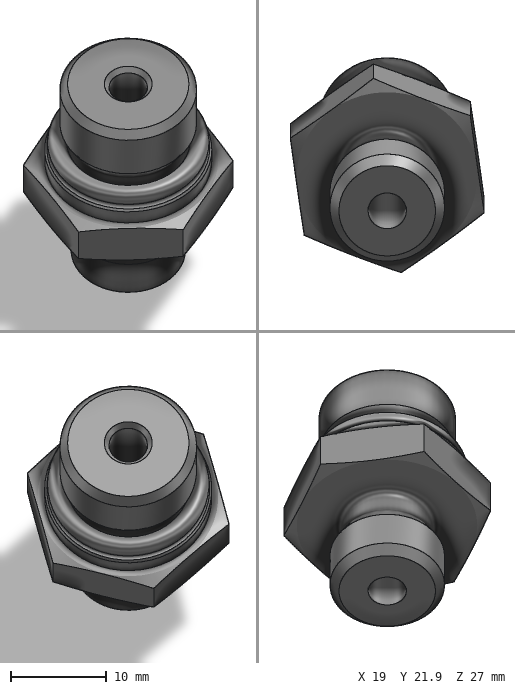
import cadquery as cq
import math

TOTAL_LENGTH = 27.0
BORE_DIAMETER = 4.0
BORE_MOUTH_DIAMETER = 5.0

HEX_ACROSS_FLATS = 19.0
HEX_BOTTOM = 10.0
HEX_HEIGHT = 5.0
HEX_TOP = HEX_BOTTOM + HEX_HEIGHT
HEX_FACE_RADIUS = 9.45
HEX_CHAMFER_ANGLE = 15.0

LOWER_STUD_RADIUS = 12.0 / 2
LOWER_NECK_RADIUS = 9.7 / 2
LOWER_CHAMFER = 0.95
LOWER_STUD_TOP = 5.35

UPPER_STUD_RADIUS = 14.3 / 2
UPPER_GROOVE_RADIUS = 12.23 / 2
UPPER_CHAMFER = 0.8
UPPER_STUD_BOTTOM = 20.92
COLLAR_RADIUS = 17.5 / 2
COLLAR_TOP = 16.93
COLLAR_CHAMFER = 0.22

NECK_FILLET = 1.0
ARC_INSET = NECK_FILLET * (1 - math.sqrt(0.5))
TAPER_ANGLE = math.radians(30.0)

RING_SECTION_RADIUS = 1.0
RING_OUTER_RADIUS = 8.45


def taper_blend(stud_radius, neck_radius):
    """Axial run of the taper, and the three radius / axial-offset points of its fillet.

    Offsets are measured from the end of the taper towards the neck.
    """
    fillet_points = []
    for angle in (TAPER_ANGLE, TAPER_ANGLE / 2, 0.0):
        radius = neck_radius + NECK_FILLET * (1 - math.cos(angle))
        offset = NECK_FILLET * (math.sin(TAPER_ANGLE) - math.sin(angle))
        fillet_points.append((radius, offset))
    taper_run = (stud_radius - fillet_points[0][0]) / math.tan(TAPER_ANGLE)
    return taper_run, fillet_points


def revolve_about_z(profile):
    return profile.close().revolve(360, (0, 0, 0), (0, 1, 0))


def make_lower_stud():
    taper_run, fillet_points = taper_blend(LOWER_STUD_RADIUS, LOWER_NECK_RADIUS)
    taper_end = LOWER_STUD_TOP + taper_run
    start, middle, end = [(radius, taper_end + offset) for radius, offset in fillet_points]
    profile = (
        cq.Workplane("XZ")
        .lineTo(LOWER_STUD_RADIUS - LOWER_CHAMFER, 0)
        .lineTo(LOWER_STUD_RADIUS, LOWER_CHAMFER)
        .lineTo(LOWER_STUD_RADIUS, LOWER_STUD_TOP)
        .lineTo(*start)
        .threePointArc(middle, end)
        .lineTo(LOWER_NECK_RADIUS, HEX_BOTTOM - NECK_FILLET)
        .threePointArc(
            (LOWER_NECK_RADIUS + ARC_INSET, HEX_BOTTOM - ARC_INSET),
            (LOWER_NECK_RADIUS + NECK_FILLET, HEX_BOTTOM),
        )
        .lineTo(0, HEX_BOTTOM)
    )
    return revolve_about_z(profile)


def make_hexagon():
    corner_diameter = HEX_ACROSS_FLATS / math.cos(math.radians(30))
    prism = (
        cq.Workplane("XY", origin=(0, 0, HEX_BOTTOM))
        .polygon(6, corner_diameter)
        .extrude(HEX_HEIGHT)
        .rotate((0, 0, 0), (0, 0, 1), 30)
    )
    cone_height = HEX_HEIGHT / 4
    rim_radius = HEX_FACE_RADIUS + cone_height / math.tan(math.radians(HEX_CHAMFER_ANGLE))
    profile = (
        cq.Workplane("XZ", origin=(0, 0, HEX_BOTTOM))
        .lineTo(HEX_FACE_RADIUS, 0)
        .lineTo(rim_radius, cone_height)
        .lineTo(rim_radius, HEX_HEIGHT - cone_height)
        .lineTo(HEX_FACE_RADIUS, HEX_HEIGHT)
        .lineTo(0, HEX_HEIGHT)
    )
    return prism.intersect(revolve_about_z(profile))


def make_upper_stud():
    taper_run, fillet_points = taper_blend(UPPER_STUD_RADIUS, UPPER_GROOVE_RADIUS)
    taper_end = UPPER_STUD_BOTTOM - taper_run
    start, middle, end = [(radius, taper_end - offset) for radius, offset in fillet_points]
    profile = (
        cq.Workplane("XZ")
        .moveTo(0, HEX_TOP)
        .lineTo(COLLAR_RADIUS, HEX_TOP)
        .lineTo(COLLAR_RADIUS, COLLAR_TOP - COLLAR_CHAMFER)
        .lineTo(COLLAR_RADIUS - COLLAR_CHAMFER, COLLAR_TOP)
        .lineTo(UPPER_GROOVE_RADIUS + NECK_FILLET, COLLAR_TOP)
        .threePointArc(
            (UPPER_GROOVE_RADIUS + ARC_INSET, COLLAR_TOP + ARC_INSET),
            (UPPER_GROOVE_RADIUS, COLLAR_TOP + NECK_FILLET),
        )
        .lineTo(*end)
        .threePointArc(middle, start)
        .lineTo(UPPER_STUD_RADIUS, UPPER_STUD_BOTTOM)
        .lineTo(UPPER_STUD_RADIUS, TOTAL_LENGTH - UPPER_CHAMFER)
        .lineTo(UPPER_STUD_RADIUS - UPPER_CHAMFER, TOTAL_LENGTH)
        .lineTo(0, TOTAL_LENGTH)
    )
    return revolve_about_z(profile)


def make_bore():
    """Through bore with a 45 degree countersink at its upper end."""
    bore_radius = BORE_DIAMETER / 2
    mouth_radius = BORE_MOUTH_DIAMETER / 2
    profile = (
        cq.Workplane("XZ")
        .lineTo(bore_radius, 0)
        .lineTo(bore_radius, TOTAL_LENGTH - (mouth_radius - bore_radius))
        .lineTo(mouth_radius, TOTAL_LENGTH)
        .lineTo(0, TOTAL_LENGTH)
    )
    return revolve_about_z(profile)


def make_fitting():
    return make_lower_stud().union(make_hexagon()).union(make_upper_stud()).cut(make_bore())


def make_seal_ring():
    center_radius = RING_OUTER_RADIUS - RING_SECTION_RADIUS
    center_height = COLLAR_TOP + RING_SECTION_RADIUS
    ring = cq.Solid.makeTorus(center_radius, RING_SECTION_RADIUS)
    return cq.Workplane(ring.translate(cq.Vector(0, 0, center_height)))


fitting = make_fitting()
seal_ring = make_seal_ring()

result = cq.Compound.makeCompound([fitting.solids().val(), seal_ring.val()])